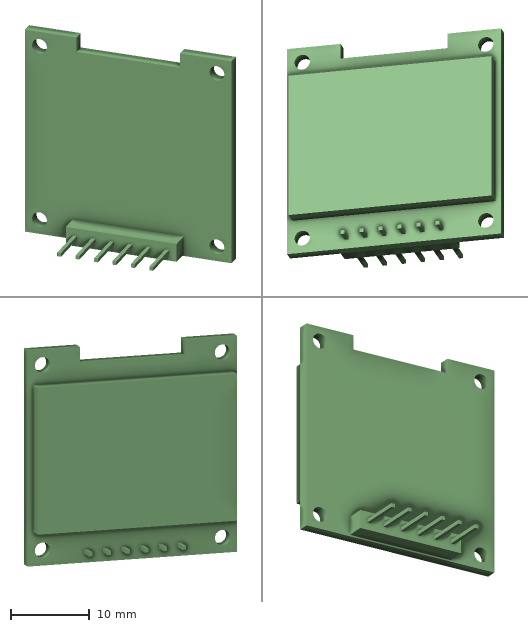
import cadquery as cq

BOARD_SIDE = 28.0
BOARD_THICKNESS = 1.5
NOTCH_WIDTH = 14.0
NOTCH_DEPTH = 2.0
MOUNT_HOLE_DIAMETER = 2.0
MOUNT_HOLE_EDGE_DISTANCE = 2.0

DISPLAY_WIDTH = 26.6
DISPLAY_HEIGHT = 19.0
DISPLAY_THICKNESS = 2.0

PIN_COUNT = 6
PIN_PITCH = 2.5
PIN_SIDE = 0.5
PIN_PROJECTION = 5.8
HEADER_WIDTH = 15.0
HEADER_SECTION = 2.5
HEADER_BOTTOM_GAP = 0.22

HEADER_Z = -BOARD_SIDE / 2 + HEADER_BOTTOM_GAP + HEADER_SECTION / 2
BACK_Y = BOARD_THICKNESS + DISPLAY_THICKNESS
PIN_LENGTH = BACK_Y + HEADER_SECTION + PIN_PROJECTION
PIN_XS = [(i - (PIN_COUNT - 1) / 2) * PIN_PITCH for i in range(PIN_COUNT)]


def block(width, depth, height, back_y, center_z=0.0, center_x=0.0):
    """Box centred on center_x and center_z, reaching forward (-Y) from back_y by depth."""
    center = (center_x, back_y - depth / 2, center_z)
    return cq.Workplane("XY").box(width, depth, height).translate(center)


def make_pin(x):
    """Square pin running from level with the back of the display out past the header."""
    return block(PIN_SIDE, PIN_LENGTH, PIN_SIDE, BACK_Y, HEADER_Z, x)


def cut_pin_holes(body):
    """Cut a matching square hole for every pin."""
    for x in PIN_XS:
        body = body.cut(make_pin(x))
    return body


def make_board():
    """Square plate with a notch in the top edge, four corner holes and the pin holes."""
    plate = block(BOARD_SIDE, BOARD_THICKNESS, BOARD_SIDE, BOARD_THICKNESS)
    notch_z = BOARD_SIDE / 2 - NOTCH_DEPTH / 2
    plate = plate.cut(block(NOTCH_WIDTH, BOARD_THICKNESS, NOTCH_DEPTH, BOARD_THICKNESS, notch_z))

    hole_spacing = BOARD_SIDE - 2 * MOUNT_HOLE_EDGE_DISTANCE
    mount_holes = (
        cq.Workplane("XZ")
        .rect(hole_spacing, hole_spacing, forConstruction=True)
        .vertices()
        .circle(MOUNT_HOLE_DIAMETER / 2)
        .extrude(-BOARD_THICKNESS)
    )
    return cut_pin_holes(plate.cut(mount_holes))


def make_display():
    """Plain rectangular block against the back face of the board."""
    return block(DISPLAY_WIDTH, DISPLAY_THICKNESS, DISPLAY_HEIGHT, BACK_Y)


def make_header():
    """Square bar against the front face of the board, pierced by the pins."""
    return cut_pin_holes(block(HEADER_WIDTH, HEADER_SECTION, HEADER_SECTION, 0.0, HEADER_Z))


board = make_board()
display = make_display()
header = make_header()
pins = [make_pin(x) for x in PIN_XS]

result = cq.Compound.makeCompound(
    [board.val(), display.val(), header.val(), *[pin.val() for pin in pins]]
)